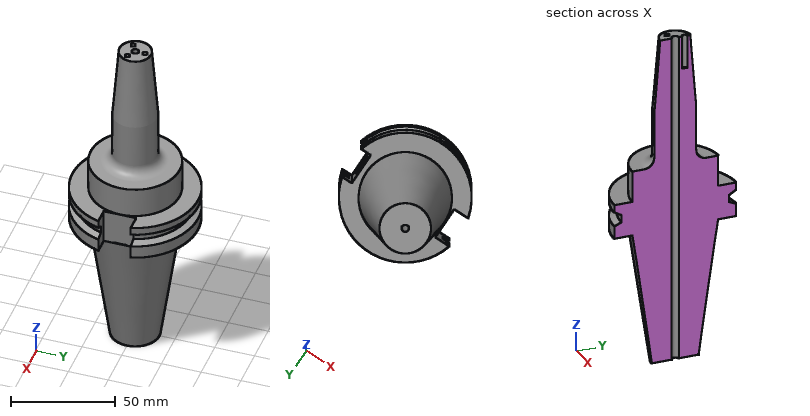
import cadquery as cq

total_height = 169.8
gauge_height = 68.5
flange_bottom = 69.5
lower_lip = 76.3
groove_bottom = 77.8
groove_top = 81.2
upper_lip = 83.4
flange_top = 87.5
collar_top = 103.5
nose_start = 132.0

gauge_radius = 22.3
taper_ratio = 7 / 24
taper_end_radius = gauge_radius - gauge_height * taper_ratio / 2
flange_radius = 63.4 / 2
groove_radius = 28.0
collar_radius = 22.5
neck_radius = 11.0
neck_fillet = 5.1
nose_radius = 8.0

slot_width = 16.3
left_slot_floor = 25.1
right_slot_floor = 22.6

pocket_radius = 5.0
pocket_depth = 5.1
pocket_height = 79.3

bore_radius = 1.7
jet_radius = 1.2
jet_circle_radius = 5.0
jet_count = 3
jet_depth = 17.0


def turned_body():
    fillet_drop = neck_fillet * 0.5 ** 0.5
    return (
        cq.Workplane("XZ")
        .lineTo(taper_end_radius, 0)
        .lineTo(gauge_radius, gauge_height)
        .lineTo(gauge_radius, flange_bottom)
        .lineTo(flange_radius, flange_bottom)
        .lineTo(flange_radius, lower_lip)
        .lineTo(groove_radius, groove_bottom)
        .lineTo(groove_radius, groove_top)
        .lineTo(flange_radius, upper_lip)
        .lineTo(flange_radius, flange_top)
        .lineTo(collar_radius, flange_top)
        .lineTo(collar_radius, collar_top)
        .lineTo(neck_radius + neck_fillet, collar_top)
        .threePointArc(
            (neck_radius + neck_fillet - fillet_drop, collar_top + neck_fillet - fillet_drop),
            (neck_radius, collar_top + neck_fillet),
        )
        .lineTo(neck_radius, nose_start)
        .lineTo(nose_radius, total_height)
        .lineTo(0, total_height)
        .close()
        .revolve(360, (0, 0, 0), (0, 1, 0))
    )


def drive_slot(floor, side):
    """Slot cutter spanning the flange height; side is -1 for -X and +1 for +X."""
    return (
        cq.Workplane("XY", origin=(side * (floor + flange_radius / 2), 0, flange_bottom))
        .rect(flange_radius, slot_width)
        .extrude(flange_top - flange_bottom)
    )


def slot_pocket():
    return (
        cq.Workplane("YZ", origin=(-left_slot_floor, 0, pocket_height))
        .circle(pocket_radius)
        .extrude(pocket_depth)
    )


def coolant_holes():
    bore = cq.Workplane("XY").circle(bore_radius).extrude(total_height)
    jets = (
        cq.Workplane("XY", origin=(0, 0, total_height - jet_depth))
        .polarArray(jet_circle_radius, 90, 360, jet_count)
        .circle(jet_radius)
        .extrude(jet_depth)
    )
    return bore.union(jets)


result = (
    turned_body()
    .cut(drive_slot(left_slot_floor, -1))
    .cut(drive_slot(right_slot_floor, 1))
    .cut(slot_pocket())
    .cut(coolant_holes())
)